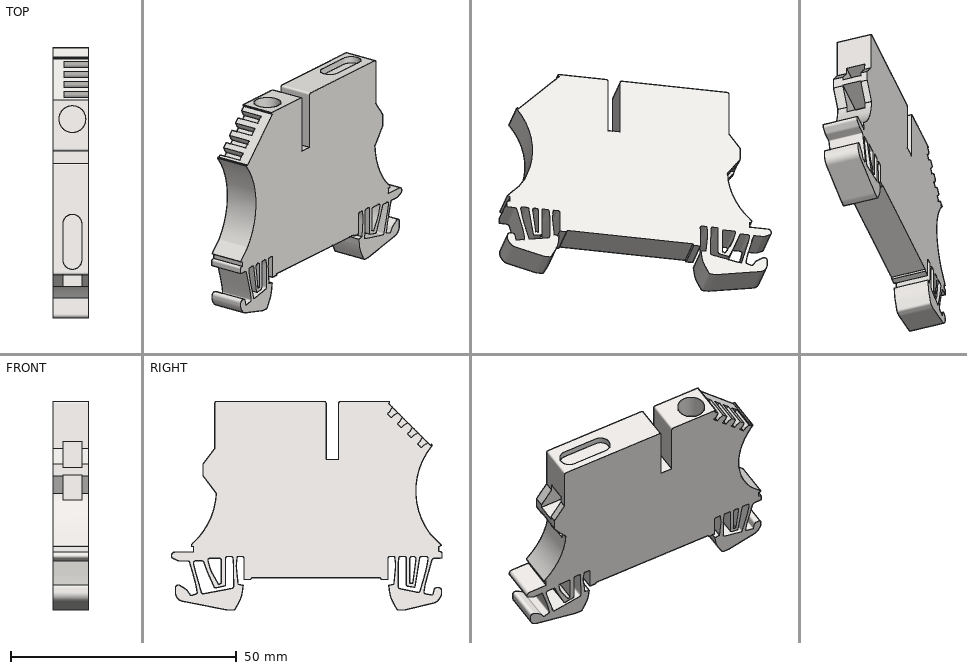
import cadquery as cq
import math


thickness = 7.9
height = 46.25
front_tip_y = -32.05
rear_tip_y = 27.95

rail_half = 15.95
seat_z = 7.15
seat_lip_z = 6.8
seat_lip_width = 1.5
lip_bevel = 0.25
roof_z = 11.9
gap_width = 1.45
gap_round = 0.4

front_wall_y = -22.45
top_round = 0.5
notch_front_y = 2.3
notch_rear_y = 5.0
notch_floor_z = 33.4
nose_y = -25.0
nose_top_z = 32.4
nose_bottom_z = 29.75
nose_shoulder_z = 35.8

marker_low = (25.3, 36.55)
marker_rise = 9.25
marker_high = (marker_low[0] - marker_rise, marker_low[1] + marker_rise)
lip_step = 0.25

rear_scoop_low = (25.25, 17.0)
rear_scoop_deep = (22.15, 26.4)
rear_scoop_high = (25.6, 36.3)
front_scoop_low = (-27.35, 14.75)
front_scoop_mid = (-23.65, 19.75)
front_scoop_high = (-22.1, 25.85)

slot_count = 4
slot_first_y = 24.2
slot_pitch_y = 2.2
slot_start_x = -1.45
slot_mouth = 1.8
slot_waist = 1.2
slot_flare_depth = 0.95
slot_depth = 1.8

opening_x = 0.35
opening_width = 4.2
screw_diameter = 5.95
screw_y = 12.05
screw_depth = 6.0
test_slot_y = -15.1
test_slot_length = 12.2
test_slot_depth = 1.5
entry_depth = 6.0
entry_spans = [(31.6, 37.4), (24.35, 30.0)]


def rounded_profile(corners):
    """Closed YZ profile from (y, z) or (y, z, radius) corners."""
    path = cq.Workplane("YZ")
    count = len(corners)
    for index, corner in enumerate(corners):
        point = cq.Vector(*corner[:2])
        radius = corner[2] if len(corner) == 3 else 0
        stops = [point]
        if radius:
            back = (cq.Vector(*corners[index - 1][:2]) - point).normalized()
            ahead = (cq.Vector(*corners[(index + 1) % count][:2]) - point).normalized()
            half_angle = back.getAngle(ahead) / 2
            setback = radius / math.tan(half_angle)
            bisector = (back + ahead).normalized()
            middle = point + bisector * (radius / math.sin(half_angle) - radius)
            stops = [point + back * setback, middle, point + ahead * setback]
        start = stops[0].toTuple()[:2]
        path = path.moveTo(*start) if index == 0 else path.lineTo(*start)
        if radius:
            path = path.threePointArc(stops[1].toTuple()[:2], stops[2].toTuple()[:2])
    return path.close()


def plate(profile):
    """Profile extruded over the full thickness, centred on X = 0."""
    return profile.extrude(thickness / 2, both=True)


def foot_inner_side(side):
    """Rail gap, inner leg and heel of one foot, from the seat lip downwards."""
    leg_y = rail_half + gap_width
    corners = [
        (rail_half, seat_lip_z),
        (rail_half, roof_z, gap_round),
        (leg_y, roof_z, 0.2),
        (17.65, 9.95, 6),
        (17.2, 5.75),
        (16.1, 5.5),
        (16.45, 2.9, 6),
        (18.0, 0, 0.6),
    ]
    return [(side * corner[0], *corner[1:]) for corner in corners]


def front_outline():
    """Front end from the seat lip, round the foot and up to the scoop."""
    return foot_inner_side(-1) + [
        (-19.55, 0, 3),
        (-31.15, 2.3, 2.0),
        (-31.15, 5.7, 0.65),
        (-30.25, 5.6, 0.6),
        (-28.55, 4.5, 1.2),
        (-27.7, 3.25, 0.25),
        (-26.3, 3.7, 0.3),
        (-26.65, 5.9, 30),
        (-28.1, 10.85, 0.25),
        (-30.35, 10.85, 1.2),
        (front_tip_y, 11.65, 0.6),
        (front_tip_y, 12.9, 0.85),
        (-27.1, 12.9),
        (-27.1, 14.1),
        (-27.6, 14.1, 0.25),
        (-27.6, 14.5, 0.35),
        front_scoop_low,
        front_scoop_high,
    ]


def top_outline():
    """Nose, flat top with its notch, and the lipped marker face."""
    low_y, low_z = marker_low
    high_y, high_z = marker_high
    return [
        (nose_y, nose_bottom_z),
        (nose_y, nose_top_z),
        (front_wall_y, nose_shoulder_z),
        (front_wall_y, height, top_round),
        (notch_front_y, height, top_round),
        (notch_front_y, notch_floor_z),
        (notch_rear_y, notch_floor_z),
        (notch_rear_y, height, top_round),
        (high_y + lip_step, height),
        (high_y + lip_step, high_z + lip_step),
        (high_y, high_z),
        (low_y, low_z),
        (low_y + lip_step, low_z + lip_step),
        (low_y + 2 * lip_step, low_z),
    ]


def rear_outline():
    """Rear end from the scoop, down round the foot to the seat lip."""
    upwards = foot_inner_side(1) + [
        (19.55, 0, 3),
        (26.75, 1.75, 1.8),
        (27.85, 3.25, 1.8),
        (27.85, 5.05, 0.7),
        (26.3, 5.05, 0.6),
        (25.85, 3.35, 0.1),
        (23.9, 3.7, 0.35),
        (24.2, 5.7, 24),
        (25.8, 11.45, 0.6),
        (rear_tip_y, 11.5, 0.2),
        (rear_tip_y, 12.9, 0.4),
        (27.25, 13.1),
        (27.25, 14.05),
        (27.85, 14.4),
        rear_scoop_low,
        rear_scoop_high,
    ]
    return upwards[::-1]


def seat_outline():
    """Rail seat between the two seat lips."""
    lip_end = rail_half - seat_lip_width
    seat_end = lip_end - lip_bevel
    return [(lip_end, seat_lip_z), (seat_end, seat_z), (-seat_end, seat_z), (-lip_end, seat_lip_z)]


def scoop(start, middle, end):
    """Cutter between an arc and its chord."""
    return plate(cq.Workplane("YZ").moveTo(*start).threePointArc(middle, end).close())


def foot_windows():
    """Spring windows through both feet: a U and the slot inside it."""
    front_u = [
        (-18.4, roof_z, 0.35),
        (-20.0, roof_z, 0.35),
        (-20.0, 5.4, 0.35),
        (-22.45, 4.85, 0.35),
        (-24.05, 8.45, 12),
        (-24.95, 10.9, 0.5),
        (-27.25, 10.9, 0.5),
        (-26.7, 8.7, 12),
        (-25.25, 3.6, 0.35),
        (-18.25, 4.9, 0.5),
        (-18.3, 10.2, 3),
    ]
    front_slot = [
        (-21.0, 11.45, 0.3),
        (-24.0, 11.45, 0.35),
        (-23.35, 8.9, 6),
        (-21.55, 5.7, 0.2),
        (-21.0, 6.0),
    ]
    rear_u = [
        (24.9, roof_z, 0.5),
        (23.05, roof_z, 0.4),
        (22.1, 5.95, 0.2),
        (21.9, 5.05, 0.25),
        (20.0, 5.35, 0.5),
        (20.0, roof_z, 0.25),
        (18.4, roof_z, 0.35),
        (18.25, 10.4, 3),
        (18.25, 4.85, 0.5),
        (22.9, 3.9, 0.3),
        (24.4, 9.0, 30),
    ]
    rear_slot = [
        (22.2, roof_z, 0.55),
        (20.8, roof_z, 0.5),
        (20.8, 6.0),
        (21.4, 6.0),
    ]
    return [plate(rounded_profile(w)) for w in (front_u, front_slot, rear_u, rear_slot)]


def marker_slot(index):
    """Flared slot square to the marker face, open on the +X side."""
    centre_y = slot_first_y - index * slot_pitch_y
    centre_z = sum(marker_low) - centre_y
    half_mouth = slot_mouth / 2
    half_waist = slot_waist / 2
    section_plane = cq.Plane(
        origin=(slot_start_x, centre_y, centre_z), xDir=(0, -1, 1), normal=(1, 0, 0)
    )
    section = [
        (-half_mouth, 0),
        (-half_waist, slot_flare_depth),
        (-half_waist, slot_depth),
        (half_waist, slot_depth),
        (half_waist, slot_flare_depth),
        (half_mouth, 0),
    ]
    slot_length = thickness / 2 - slot_start_x
    return cq.Workplane(section_plane).polyline(section).close().extrude(slot_length)


def screw_hole():
    top = cq.Workplane("XY", origin=(opening_x, screw_y, height))
    return top.circle(screw_diameter / 2).extrude(-screw_depth)


def test_slot():
    top = cq.Workplane("XY", origin=(opening_x, test_slot_y, height))
    return top.slot2D(test_slot_length, opening_width, 90).extrude(-test_slot_depth)


def wire_entry(bottom_z, top_z):
    """Rectangular pocket from the front end back to the entry depth."""
    length = front_wall_y + entry_depth - nose_y
    corner = (opening_x - opening_width / 2, nose_y, bottom_z)
    return cq.Workplane("XY").box(
        opening_width, length, top_z - bottom_z, centered=False
    ).translate(corner)


outline = front_outline() + top_outline() + rear_outline() + seat_outline()
result = plate(rounded_profile(outline))

result = result.cut(scoop(rear_scoop_low, rear_scoop_deep, rear_scoop_high))
result = result.cut(scoop(front_scoop_low, front_scoop_mid, front_scoop_high))
for window in foot_windows():
    result = result.cut(window)
for slot_index in range(slot_count):
    result = result.cut(marker_slot(slot_index))
result = result.cut(screw_hole())
result = result.cut(test_slot())
for entry_bottom, entry_top in entry_spans:
    result = result.cut(wire_entry(entry_bottom, entry_top))